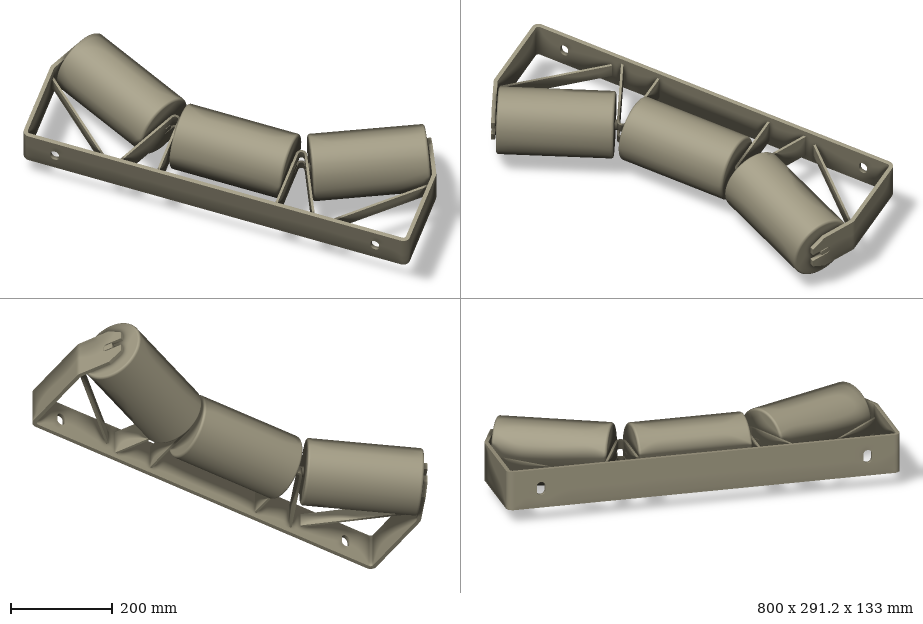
import cadquery as cq
import math

frame_length = 800.0
frame_height = 80.0
frame_thickness = 8.0
frame_corner_radius = 14.0
arm_bend_radius = 18.0
arm_tip_y = 265.0
arm_tip_height = 48.0
arm_chamfer_length = 28.0
mount_slot_x = 332.0
mount_slot_width = 18.0
mount_slot_height = 27.0

roller_diameter = 133.0
roller_length = 230.0
roller_edge_radius = 5.0
shaft_diameter = 20.0
shaft_flat_height = 12.0
leg_gap = 5.0
arm_gap = 3.0
middle_roller_y = 125.0
side_roller_x = 256.0
side_roller_y = 184.0
tilt = 25.0

shaft_slot_width = 17.0
shaft_slot_drop = 2.0

sheet_thickness = 5.0
bracket_height = 54.0
fold_radius = 11.0
brace_height = 30.0
brace_top_y = 168.0
brace_foot_x = 224.0
brace_foot_y = 12.0

half_length = frame_length / 2
half_roller = roller_length / 2
leg_face = half_roller + leg_gap
arm_face = half_roller + arm_gap + frame_thickness
sin_tilt = math.sin(math.radians(tilt))
cos_tilt = math.cos(math.radians(tilt))
tan_tilt = math.tan(math.radians(tilt))


def side_point(along, across):
    """Point given along and across the axis of the left side roller, measured from its middle."""
    x = -side_roller_x + along * cos_tilt + across * sin_tilt
    y = side_roller_y - along * sin_tilt + across * cos_tilt
    return x, y


def place_on_side(shape):
    """Move a shape built about the X axis onto the left side roller axis."""
    return shape.rotate((0, 0, 0), (0, 0, 1), -tilt).translate((-side_roller_x, side_roller_y, 0))


def mirrored(shape):
    """The same shape on the other side of the middle plane."""
    return shape.mirror("YZ")


def inner_corners(outer, thickness):
    """Offset an open polyline to its left by the thickness, with mitred corners."""
    directions = []
    for (x0, y0), (x1, y1) in zip(outer, outer[1:]):
        length = math.hypot(x1 - x0, y1 - y0)
        directions.append(((x1 - x0) / length, (y1 - y0) / length))
    befores = directions[:1] + directions
    afters = directions + directions[-1:]
    corners = []
    for (x, y), (ax, ay), (bx, by) in zip(outer, befores, afters):
        miter = thickness / (1 + ax * bx + ay * by)
        corners.append((x - miter * (ay + by), y + miter * (ax + bx)))
    return corners


def round_upright_edge(strip, corner, radius):
    """Round the vertical edge that stands at a corner."""
    x, y = corner
    return strip.edges(cq.NearestToPointSelector((x, y, 0))).fillet(radius)


def bent_strip(outer, thickness, height, outer_radii):
    """Upright strip along an outer polyline, material on its left, with one rounded bend per radius."""
    inner = inner_corners(outer, thickness)
    strip = cq.Workplane("XY").polyline(outer + inner[::-1]).close().extrude(height / 2, both=True)
    for outer_corner, inner_corner, radius in zip(outer[1:-1], inner[1:-1], outer_radii):
        strip = round_upright_edge(strip, outer_corner, radius)
        strip = round_upright_edge(strip, inner_corner, radius - thickness)
    return strip


def shaft_slot(start, depth):
    """Cutter along the X axis for a round-ended slot that is open towards +Y."""
    plane = cq.Workplane("YZ", origin=(start, -shaft_slot_drop, 0))
    round_end = plane.circle(shaft_slot_width / 2).extrude(depth)
    opening = plane.center(half_roller / 2, 0).rect(half_roller, shaft_slot_width).extrude(depth)
    return round_end.union(opening)


def arm_chamfers():
    """Cutter for the two sloping corners of the left arm tip, about the X axis."""
    tip = (arm_tip_y - side_roller_y - arm_face * sin_tilt) / cos_tilt
    top = frame_height / 2
    corner = [(tip - arm_chamfer_length, top), (tip, top), (tip, arm_tip_height / 2)]
    plane = cq.Workplane("YZ", origin=(-arm_face, 0, 0))
    upper = plane.polyline(corner).close().extrude(frame_thickness)
    return upper.union(upper.mirror("XY"))


def make_frame():
    """U-shaped frame with slotted, chamfered arms and two mounting slots in its long bar."""
    face_x, face_y = side_point(-arm_face, 0)
    bend_y = face_y - (face_x + half_length) / tan_tilt
    tip_x = -half_length + (arm_tip_y - bend_y) * tan_tilt
    left = [(tip_x, arm_tip_y), (-half_length, bend_y), (-half_length, 0)]
    right = [(-x, y) for x, y in reversed(left)]
    bend_radii = [arm_bend_radius, frame_corner_radius, frame_corner_radius, arm_bend_radius]
    frame = bent_strip(left + right, frame_thickness, frame_height, bend_radii)

    arm_cuts = place_on_side(arm_chamfers().union(shaft_slot(-arm_face, frame_thickness)))
    frame = frame.cut(arm_cuts).cut(mirrored(arm_cuts))

    mount_slots = (
        cq.Workplane("XZ")
        .pushPoints([(-mount_slot_x, 0), (mount_slot_x, 0)])
        .slot2D(mount_slot_height, mount_slot_width, 90)
        .extrude(-frame_thickness)
    )
    return frame.cut(mount_slots)


def make_bracket():
    """Left bracket: an upright leg folded over into a leg parallel to the side roller's end."""
    upright_x = -leg_face
    slant_x, slant_y = side_point(leg_face, 0)
    apex_y = slant_y + (upright_x - slant_x) / tan_tilt
    slant_foot_x = slant_x - slant_y * tan_tilt
    outline = [(upright_x, 0), (upright_x, apex_y), (slant_foot_x, 0)]
    bracket = bent_strip(outline, sheet_thickness, bracket_height, [fold_radius])

    frame_bar = cq.Workplane("XY").box(frame_length, 2 * frame_thickness, frame_height)
    slant_slot = place_on_side(shaft_slot(leg_face, fold_radius))
    upright_slot = shaft_slot(upright_x - fold_radius, fold_radius).translate((0, middle_roller_y, 0))
    return bracket.cut(frame_bar).cut(slant_slot).cut(upright_slot)


def make_brace():
    """Left brace: a diagonal strip cut flush at the side wall and square at the foot."""
    wall_x = -half_length + frame_thickness
    run = -brace_foot_x - wall_x
    drop = brace_top_y - brace_foot_y
    length = math.hypot(run, drop)
    foot_x = -brace_foot_x - sheet_thickness * drop / length
    foot_y = brace_foot_y - sheet_thickness * run / length
    lower_y = brace_top_y - sheet_thickness * length / run
    outline = [(wall_x, brace_top_y), (-brace_foot_x, brace_foot_y), (foot_x, foot_y), (wall_x, lower_y)]
    return cq.Workplane("XY").polyline(outline).close().extrude(brace_height / 2, both=True)


def shaft_piece(start, end):
    """Round piece of shaft between two places on the X axis."""
    return cq.Workplane("YZ", origin=(start, 0, 0)).circle(shaft_diameter / 2).extrude(end - start)


def flatted_shaft_piece(start, end):
    """Piece of shaft with flats above and below, to fit a shaft slot."""
    flat_bar = cq.Workplane("YZ", origin=(start, 0, 0)).rect(shaft_diameter, shaft_flat_height)
    return shaft_piece(start, end).intersect(flat_bar.extrude(end - start))


def make_roller(left_end, left_thickness, right_end, right_thickness):
    """Roller about the X axis with a shaft that is flatted through the support at each end."""
    drum = cq.Workplane("YZ", origin=(-half_roller, 0, 0)).circle(roller_diameter / 2).extrude(roller_length)
    drum = drum.edges().fillet(roller_edge_radius)
    left_shoulder = left_thickness - left_end
    right_shoulder = right_end - right_thickness
    return (
        drum.union(shaft_piece(left_shoulder, right_shoulder))
        .union(flatted_shaft_piece(-left_end, left_shoulder))
        .union(flatted_shaft_piece(right_shoulder, right_end))
    )


frame = make_frame()

leg_inside = leg_face + sheet_thickness
middle_roller = make_roller(leg_inside, sheet_thickness, leg_inside, sheet_thickness)
middle_roller = middle_roller.translate((0, middle_roller_y, 0))
left_roller = place_on_side(make_roller(arm_face, frame_thickness, leg_inside, sheet_thickness))

left_bracket = make_bracket()
left_brace = make_brace()

bodies = [*frame.solids().vals(), *middle_roller.solids().vals()]
for left_body in (left_roller, left_bracket, left_brace):
    for body in (left_body, mirrored(left_body)):
        bodies += body.solids().vals()

result = cq.Compound.makeCompound(bodies)